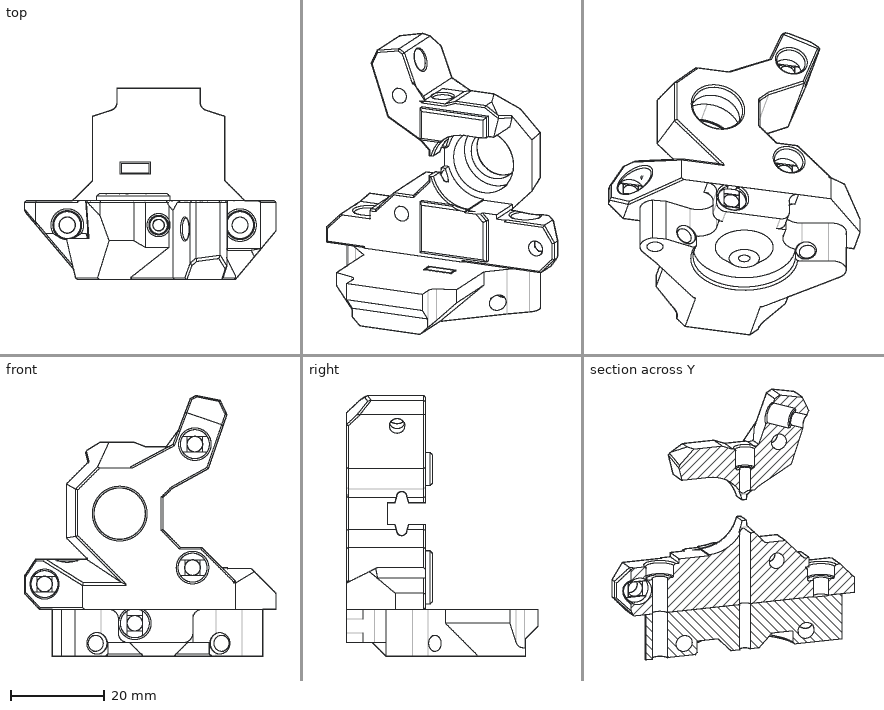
import cadquery as cq
import math


plate_depth = 17.0
edge_chamfer = 0.4
base_height = 10.1
base_length = 41.15
screw_clearance = 3.3
screw_head = 6.2
floor_bevel = 0.2
bridge_layer = 0.2

bore_x = -8.35
bore_z = 20.6
post_y = 11.7
left_post_x = -19.65
right_post_x = 19.1
post_radius = 3.25


def prism_y(points, start, end):
    """Extrude an outline of (x, z) points along Y."""
    return cq.Workplane("XZ", origin=(0, start, 0)).polyline(points).close().extrude(start - end)


def prism_x(points, start, end):
    """Extrude an outline of (y, z) points along X."""
    return cq.Workplane("YZ", origin=(start, 0, 0)).polyline(points).close().extrude(end - start)


def prism_z(points, start, end):
    """Extrude an outline of (x, y) points along Z."""
    return cq.Workplane("XY", origin=(0, 0, start)).polyline(points).close().extrude(end - start)


def block(x0, x1, y0, y1, z0, z1):
    return cq.Workplane("XY").box(x1 - x0, y1 - y0, z1 - z0, centered=False).translate((x0, y0, z0))


def rod(start, direction, diameter, length, end_diameter=None):
    """Cylinder, or cone when an end diameter is given."""
    if end_diameter is None:
        solid = cq.Solid.makeCylinder(diameter / 2, length, cq.Vector(*start), cq.Vector(*direction))
    else:
        solid = cq.Solid.makeCone(
            diameter / 2, end_diameter / 2, length, cq.Vector(*start), cq.Vector(*direction)
        )
    return cq.Workplane(obj=solid)


def counterbored_hole(start, direction, head, head_depth, shank, length):
    """Tool for a chamfered counterbore with a bevelled floor, followed by a plain shank."""
    mouth = rod(start, direction, head + 2 * edge_chamfer, edge_chamfer, head)
    bevel_start = [place + head_depth * step for place, step in zip(start, direction)]
    bevel = rod(bevel_start, direction, head, floor_bevel, head - 2 * floor_bevel)
    bore = rod(start, direction, head, head_depth)
    return mouth.union(bore).union(bevel).union(rod(start, direction, shank, length))


def bridged_hole(x, z, mouth_y, floor_y, end_y, head=screw_head, upright_band=False):
    """Tool for a front screw: head bore, then a band and a square that let the floor be bridged."""
    bore = rod((x, mouth_y, z), (0, 1, 0), head, floor_y - mouth_y)
    half = screw_clearance / 2
    reach = head / 2
    band_x, band_z = (half, reach) if upright_band else (reach, half)
    round_limit = rod((x, floor_y, z), (0, 1, 0), head, bridge_layer)
    band = block(x - band_x, x + band_x, floor_y, floor_y + bridge_layer, z - band_z, z + band_z)
    square_start = floor_y + bridge_layer
    square = block(x - half, x + half, square_start, square_start + bridge_layer, z - half, z + half)
    shank = rod((x, floor_y, z), (0, 1, 0), screw_clearance, end_y - floor_y)
    return bore.union(band.intersect(round_limit)).union(square).union(shank)


def tetrahedron(corners):
    points = [cq.Vector(*corner) for corner in corners]
    faces = []
    for skipped in points:
        side = [point for point in points if point is not skipped]
        faces.append(cq.Face.makeFromWires(cq.Wire.makePolygon(side, close=True)))
    return cq.Workplane(obj=cq.Solid.makeSolid(cq.Shell.makeShell(faces)))


def front_mouth(x, z):
    """Chamfer at the mouth of a front screw bore."""
    return rod((x, 0, z), (0, 1, 0), screw_head + 2 * edge_chamfer, edge_chamfer, screw_head)


arm_tilt = math.radians(19)
arm_hole_x = 7.8
arm_hole_z = 35.5
notch_x = 0.95


def arm_tip_tool():
    """Removes the front of the arm tip along a 45 degree plane, square to the arm."""
    tip_start = 5.85
    tip = prism_x([(-0.55, -0.55), (16.8, 16.8), (-0.55, 16.8)], -11.2, 11.2)
    tip = tip.translate((0, 0, tip_start)).rotate((0, 0, 0), (0, 1, 0), math.degrees(arm_tilt))
    return tip.translate((arm_hole_x, 0, arm_hole_z))


def make_arm_plate():
    below = -1.1
    outline = [
        (-6.55, 30.35), (3.1, 35.45), (6.8, 45.25), (8.0, 46.0), (13.25, 44.95), (14.7, 41.85), (10.7, 30.25),
        (2.85, 25.9), (notch_x, 24.05), (notch_x, 17.15), (4.65, 13.35), (9.25, 13.35), (16.5, 6.1),
        (16.5, below), (-7.4, below), (-7.4, 30.35),
    ]
    plate = prism_y(outline, 0, plate_depth).cut(arm_tip_tool())
    tip_face = cq.selectors.NearestToPointSelector((10.4, 2.25, 43.2))
    front_edges = plate.faces("<Y").edges().vals()
    tip_edges = plate.faces(tip_face).edges().vals()
    back_edges = plate.faces(">Y").edges().vals()
    outer = [edge for edge in front_edges if not any(edge.isSame(other) for other in tip_edges)]
    outer += [edge for edge in tip_edges if not any(edge.isSame(other) for other in front_edges)]
    plate = plate.newObject(outer + back_edges).chamfer(edge_chamfer)
    return plate.cut(block(-11.2, 22.45, -0.55, 17.4, below, 0))


head_top = 35.95
head_step = 35.0


def head_section(y):
    """Six-sided head section at depth y; its left sides spread and its top rises with depth."""
    left = -17.8 - 0.23 * y
    upper_diagonal = 43.6 + 0.36 * y
    lower_diagonal = -2.1 - 0.27 * y
    top = 30.35 + 0.67 * y
    right = 4.5
    foot = 5.45
    corners = [
        (left, upper_diagonal + left), (top - upper_diagonal, top), (right, top),
        (right, foot), (lower_diagonal - foot, foot), (left, lower_diagonal - left),
    ]
    return cq.Wire.makePolygon([cq.Vector(x, y, z) for x, z in corners], close=True)


def make_head():
    taper = cq.Solid.makeLoft([head_section(0), head_section(plate_depth)], True)
    taper = cq.Workplane(obj=taper)
    left_front = cq.selectors.BoxSelector((-22.45, -0.05, 0), (-11.2, 0.05, 29.15))
    taper = taper.edges(left_front).chamfer(edge_chamfer)
    limit = prism_y(
        [(-22.45, 0), (-22.45, 29.85), (-12.55, head_top), (-5.35, head_top), (-2.85, head_step), (4.5, head_step),
         (4.5, 28.05), (0, 23.55), (0, 0)],
        0, plate_depth,
    )
    limit = limit.faces(">Y").chamfer(edge_chamfer)
    return limit.intersect(taper)


def make_gusset():
    """Three-sided gusset at the back between the head top and the arm."""
    return tetrahedron(
        [(1.6, plate_depth, head_step), (3.15, 14.15, head_step), (6.15, plate_depth, head_step),
         (4.55, plate_depth, 38.9)]
    )


left_lug_top = 10.8
left_lug_head = 5.8
right_lug_top = 9.0
right_lug_flat = 6.8


def lug_slope(front_height, rise, x0, x1):
    """Everything above a plane that climbs toward the back."""
    return prism_x([(-0.55, front_height - rise), (22.45, front_height + 40 * rise), (-0.55, 33.65)], x0, x1)


def make_left_lug():
    outline = [(-25.6, 0), (-28.85, 3.4), (-28.85, 7.2), (-26.4, left_lug_top), (-5.6, left_lug_top), (-5.6, 0)]
    lug = prism_y(outline, 0, plate_depth)
    lug = lug.faces(">Y").edges("not(>X)").chamfer(edge_chamfer)
    lug = lug.cut(lug_slope(5.55, 0.3, -33.65, 0))
    lug = lug.cut(prism_z([(-16.4, 0), (-28.85, 14.7), (-33.65, 14.7), (-33.65, -0.55), (-16.4, -0.55)], -0.55, 16.8))
    slanted_face = cq.selectors.NearestToPointSelector((-19.05, 3.2, 3.35))
    rim = [edge for edge in lug.faces(slanted_face).edges().vals() if edge.Center().y > 0.05]
    rim += lug.edges(cq.selectors.NearestToPointSelector((-11.2, 0, 5.55))).vals()
    lug = lug.newObject(rim).chamfer(edge_chamfer)
    lug = lug.cut(bridged_hole(-24.5, 5.45, 0, 13.45, 22.45, head=left_lug_head))
    return lug.edges("%ELLIPSE").chamfer(0.35)


def right_lug_step_tool():
    """Lowers the back of the right lug to a flat seat with a leaning front wall."""
    wall = [(6.7, right_lug_flat), (6.2, 9.25), (19.65, 9.25), (19.65, right_lug_flat)]
    return prism_x(wall, 14.75, 28.05)


def make_right_lug():
    outline = [(11.2, 0), (25.25, 0), (25.25, 3.5), (19.75, right_lug_top), (11.2, right_lug_top)]
    lug = prism_y(outline, 0, plate_depth)
    lug = lug.faces(">Y").edges("not(<X)").chamfer(edge_chamfer)
    lug = lug.cut(lug_slope(5.65, 0.3, 10.65, 28.05))
    lug = lug.cut(prism_z([(16.5, 0), (25.25, 10.5), (28.05, 10.5), (28.05, -0.55), (16.5, -0.55)], -0.55, 16.8))
    return lug


bore_diameter = 11.0
bore_depth = 3.35
chamber_diameter = 14.2
pocket_front = 8.85
pocket_radius = 8.6
pocket_floor = 11.8
pocket_ceiling = 29.15
lip_x = -14.6


def bore_tool():
    start = (bore_x, 0, bore_z)
    mouth = rod(start, (0, 1, 0), bore_diameter + 2 * edge_chamfer, edge_chamfer, bore_diameter)
    bore = rod(start, (0, 1, 0), bore_diameter, bore_depth)
    chamber = rod((bore_x, bore_depth, bore_z), (0, 1, 0), chamber_diameter, pocket_front - bore_depth)
    return mouth.union(bore).union(chamber)


def pocket_tool():
    """Round pocket at the back of the head, open to the left and to the back."""
    back = plate_depth + 2.8
    round_part = rod((bore_x, pocket_front, bore_z), (0, 1, 0), 2 * pocket_radius, back - pocket_front)
    opening = prism_y(
        [(bore_x, pocket_floor), (lip_x - 0.7, pocket_floor), (lip_x - 0.7, left_lug_top), (-33.65, left_lug_top),
         (-33.65, 39.25), (-17.1, 39.25), (lip_x, pocket_ceiling), (bore_x, pocket_ceiling)],
        pocket_front, back,
    )
    gap_half = 2.3
    gap = block(bore_x, 2.8, pocket_front, back, bore_z - gap_half, bore_z + gap_half)
    rim = rod(
        (bore_x, plate_depth - edge_chamfer, bore_z), (0, 1, 0),
        2 * pocket_radius, edge_chamfer, 2 * (pocket_radius + edge_chamfer),
    )
    return round_part.union(opening).union(gap).union(rim)


def side_slot_tool():
    """Tapered, round-ended slot from the pocket out through the notch."""
    middle = 11.9
    wide, narrow = 1.45, 1.05
    wide_z, narrow_z, end_z = 2.3, 3.7, 4.7
    slot = (
        cq.Workplane("YZ", origin=(-3.35, 0, bore_z))
        .moveTo(middle - wide, -wide_z).lineTo(middle - wide, wide_z).lineTo(middle - narrow, narrow_z)
        .threePointArc((middle, end_z), (middle + narrow, narrow_z))
        .lineTo(middle + wide, wide_z).lineTo(middle + wide, -wide_z).lineTo(middle + narrow, -narrow_z)
        .threePointArc((middle, -end_z), (middle - narrow, -narrow_z))
        .close().extrude(9)
    )
    return slot


def arm_cross_hole_tool():
    """Stepped hole straight through the arm, square to its left edge."""
    direction = (math.cos(arm_tilt), 0, -math.sin(arm_tilt))
    return counterbored_hole((5.5, 10.9, 42.3), direction, 4.7, 5.6, screw_clearance, 16.8)


def make_back_pads():
    """Chamfered locating pads on the back face, above and below the pocket."""
    pads = cq.Workplane("XY")
    left, right, corner = -13.3, 2.4, 2.25
    upper = [(left, 26.6), (left, 33.75), (right, 33.75), (right, 26.6)]
    lower = [(left, 1.1), (left, 12.6 - corner), (left + corner, 12.6), (right, 12.6), (right, 1.1)]
    for outline in (upper, lower):
        pads = pads.union(prism_y(outline, plate_depth, 18.5).faces(">Y").chamfer(0.55))
    return pads


def make_upright():
    body = make_arm_plate().union(make_head()).union(make_gusset())
    body = body.union(make_left_lug()).union(make_right_lug())
    body = body.cut(right_lug_step_tool())
    body = body.union(make_back_pads())
    body = body.cut(bore_tool()).cut(pocket_tool()).cut(side_slot_tool())
    for x, z in ((arm_hole_x, arm_hole_z), (7.3, 9.0)):
        body = body.cut(bridged_hole(x, z, 0, 3.9, 22.45)).cut(front_mouth(x, z))
    body = body.cut(arm_cross_hole_tool())
    down = (0, 0, -1)
    body = body.cut(counterbored_hole((left_post_x, post_y, left_lug_top), down, screw_head, 2.8, 3.4, 16.8))
    body = body.cut(counterbored_hole((17.5, post_y, right_lug_flat), down, screw_head, 2.8, 3.4, 16.8))
    body = body.cut(counterbored_hole((0, post_y, head_step), down, 4.2, 4.5, 2.4, 39.25))
    lip_edges = body.edges(cq.selectors.NearestToPointSelector((-15.5, 12.9, 33.0)))
    return lip_edges.chamfer(0.35)


tab_left = -8.65
tab_right = 7.35
tab_depth = 3.6
tab_height = 7.1
tab_round = 2.0
tail_half = 14.25
tail_neck_half = 9.0
tail_undercut_z = 3.0
tail_side_start = 21.2
recess_radius = 11.0
recess_depth = base_height - tab_height


def make_base_plan():
    """Front part of the base: two posts joined by concave corners to the central neck."""
    front_x, front_y = 12.35, 9.9
    corner_y = 6.05
    corner_x, corner_middle_y = 8.5, 8.85
    side_angle = math.radians(49.5)
    side_x = post_radius * math.cos(side_angle)
    side_y = post_y + post_radius * math.sin(side_angle)
    front_run = 1.25
    front_arc_y = post_y - math.sqrt(post_radius**2 - front_run**2)
    bend_x, bend_y = 17.95, 17.55
    back_y = 28.05
    back_half = bend_x + bend_y - back_y
    return (
        cq.Workplane("XY")
        .moveTo(-tab_right, tab_depth)
        .lineTo(-tab_right, corner_y)
        .threePointArc((-corner_x, corner_middle_y), (-front_x, front_y))
        .lineTo(-bend_x, 8.45)
        .lineTo(left_post_x - front_run, front_arc_y)
        .threePointArc((left_post_x - post_radius, post_y), (left_post_x - side_x, side_y))
        .lineTo(-bend_x, bend_y)
        .lineTo(-back_half, back_y)
        .lineTo(back_half, back_y)
        .lineTo(bend_x, bend_y)
        .lineTo(right_post_x + side_x, side_y)
        .threePointArc((right_post_x + post_radius, post_y), (right_post_x - front_run, front_arc_y))
        .lineTo(front_x, front_y)
        .threePointArc((corner_x, corner_middle_y), (tab_right, corner_y))
        .lineTo(tab_right, tab_depth)
        .close().extrude(-base_height)
    )


def make_tail():
    """Tail with 45 degree undercut sides, a necked end and a beak-shaped tip."""
    bottom_half = tail_half - (base_height - tail_undercut_z)
    section = [
        (-tail_half, 0), (-tail_half, -tail_undercut_z), (-bottom_half, -base_height),
        (bottom_half, -base_height), (tail_half, -tail_undercut_z), (tail_half, 0),
    ]
    tail = prism_y(section, tail_side_start, base_length)
    shoulder_y = 35.1
    plan = (
        cq.Workplane("XY").moveTo(-tail_half, 0).lineTo(-tail_half, shoulder_y).lineTo(-10.1, 36.45)
        .threePointArc((-9.2, 37.2), (-tail_neck_half, 38.25)).lineTo(-tail_neck_half, base_length)
        .lineTo(tail_neck_half, base_length).lineTo(tail_neck_half, 38.25)
        .threePointArc((9.2, 37.2), (10.1, 36.45)).lineTo(tail_half, shoulder_y).lineTo(tail_half, 0)
        .close().extrude(-base_height)
    )
    tip_z, heel_y, heel_z = -3.65, 38.5, -6.35
    beak = prism_x(
        [(base_length, tip_z), (heel_y, heel_z), (heel_y, -11.2), (44.9, -11.2), (44.9, tip_z)], -16.8, 16.8
    )
    return tail.intersect(plan).cut(beak)


def make_tab():
    """Front tab with rounded lower corners and flared upper corners."""
    return (
        cq.Workplane("XZ")
        .moveTo(tab_left - tab_round, 0)
        .radiusArc((tab_left, -tab_round), tab_round)
        .lineTo(tab_left, tab_round - tab_height)
        .radiusArc((tab_left + tab_round, -tab_height), -tab_round)
        .lineTo(tab_right - tab_round, -tab_height)
        .radiusArc((tab_right, tab_round - tab_height), -tab_round)
        .lineTo(tab_right, -tab_round)
        .radiusArc((tab_right + tab_round, 0), tab_round)
        .close().extrude(-tab_depth)
    )


def recess_tool():
    """Round recess under the base, leaving a cone around the centre screw."""
    top = recess_depth - base_height
    recess = rod((0, post_y, -base_height), (0, 0, 1), 2 * recess_radius, recess_depth)
    recess = recess.union(block(tab_left - 2.25, tab_right + 2.25, 0, post_y - 3.35, -base_height, top))
    rim_width = 0.5
    rim = rod(
        (0, post_y, -base_height), (0, 0, 1), 2 * (recess_radius + rim_width), rim_width, 2 * recess_radius
    )
    recess = recess.union(rim)
    cone_tip = 2 * post_radius
    cone = rod((0, post_y, -base_height), (0, 0, 1), cone_tip, recess_depth, cone_tip + 2 * recess_depth)
    return recess.cut(cone)


def angled_hole_tool(side):
    """Chamfered hole that runs from the front wall out through the 45 degree side."""
    angle = math.radians(18.5)
    direction = (side * math.sin(angle), math.cos(angle), 0)
    mouth_x, mouth_y, hole_z = 13.35, 9.65, -7.3
    start = (side * mouth_x - 2.8 * direction[0], mouth_y - 2.8 * direction[1], hole_z)
    face = (side * mouth_x, mouth_y, hole_z)
    hole = rod(start, direction, 3.4, 22.45)
    return hole.union(rod(start, direction, 4.7, 2.8)).union(rod(face, direction, 4.7, 0.5, 3.4))


def marker_tool():
    """Shallow rectangular groove in the top of the base."""
    width, length, line = 6.5, 2.6, 0.3
    groove = cq.Workplane("XY", origin=(-5.05, 23.95, 0)).rect(width, length)
    return groove.rect(width - 2 * line, length - 2 * line).extrude(-line)


def make_base():
    body = make_base_plan().union(make_tail())
    body = body.cut(recess_tool()).union(make_tab())
    for side in (-1, 1):
        body = body.cut(angled_hole_tool(side))
    body = body.cut(bridged_hole(-5.1, -3.0, 0, 1.0, 7.85, upright_band=True)).cut(front_mouth(-5.1, -3.0))
    body = body.cut(rod((left_post_x, post_y, 0), (0, 0, -1), 3.4, base_height))
    body = body.cut(rod((0, post_y, 0), (0, 0, -1), 2.4, base_height))
    return body.cut(marker_tool())


upright = make_upright()
base = make_base()
result = cq.Compound.makeCompound([upright.val(), base.val()])